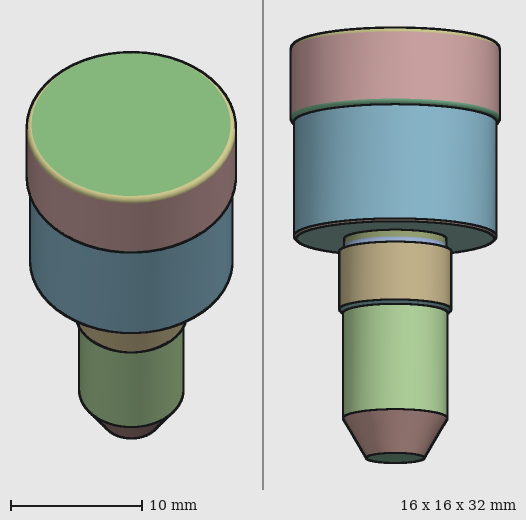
import cadquery as cq
import math

total_height = 32.0

head_radius = 8.0
head_height = 6.0
head_rounding = 0.4
body_radius = 7.75
body_bottom_depth = 15.0
body_chamfer = 0.2

neck_radius = 3.9
shoulder_radius = 4.3
shank_radius = 4.0
shoulder_top_depth = 16.0
shoulder_bottom_depth = 20.48
tip_length = 3.07
tip_half_angle = math.radians(30)

relief_radius = 0.4
relief_angle = math.radians(60)

body_bottom = total_height - body_bottom_depth
shoulder_top = total_height - shoulder_top_depth
shoulder_bottom = total_height - shoulder_bottom_depth


def make_head():
    disc = (
        cq.Workplane("XY")
        .workplane(offset=total_height - head_height)
        .circle(head_radius)
        .extrude(head_height)
        .edges()
        .fillet(head_rounding)
    )
    body_top = total_height - head_height / 2
    body = (
        cq.Workplane("XY")
        .workplane(offset=body_bottom)
        .circle(body_radius)
        .extrude(body_top - body_bottom)
        .faces("<Z")
        .chamfer(body_chamfer)
    )
    return disc.union(body)


def make_pin():
    def relief_point(angle):
        radius = neck_radius + relief_radius * (1 - math.cos(angle))
        return radius, arc_top - relief_radius * math.sin(angle)

    arc_drop = relief_radius * math.sin(relief_angle)
    arc_end_radius = neck_radius + relief_radius * (1 - math.cos(relief_angle))
    cone_drop = (shoulder_radius - arc_end_radius) / math.tan(relief_angle)
    arc_top = shoulder_top + cone_drop + arc_drop

    tip_radius = shank_radius - tip_length * math.tan(tip_half_angle)
    step_bottom = shoulder_bottom - (shoulder_radius - shank_radius)

    return (
        cq.Workplane("XZ")
        .moveTo(0, 0)
        .lineTo(tip_radius, 0)
        .lineTo(shank_radius, tip_length)
        .lineTo(shank_radius, step_bottom)
        .lineTo(shoulder_radius, shoulder_bottom)
        .lineTo(shoulder_radius, shoulder_top)
        .lineTo(*relief_point(relief_angle))
        .threePointArc(relief_point(relief_angle / 2), relief_point(0))
        .lineTo(neck_radius, body_bottom)
        .lineTo(0, body_bottom)
        .close()
        .revolve(360, (0, 0, 0), (0, 1, 0))
    )


result = make_head().union(make_pin())